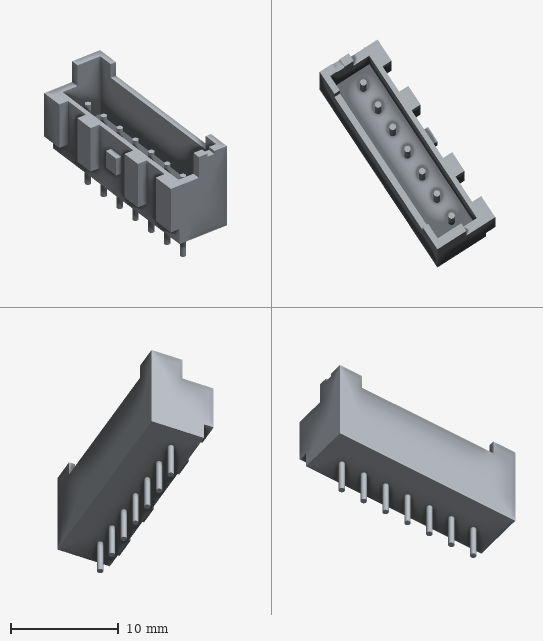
import cadquery as cq

length = 20
back_y = 3.2
front_y = -2.2
rib_front_y = -3.2
height = 8.8
front_height = 6.5
end_step_y = 0

end_wall = 0.85
back_wall = 0.6
front_wall = 0.48
floor_thickness = 2.4

rear_cutout_length = 15
rear_cutout_z = 7.3
notch_y_min = 1
notch_y_max = 1.78
notch_depth = 0.35

rib_bottom_z = 1.68
outer_rib_inner_x = 7.62
inner_rib_start_x = 2.68
inner_rib_end_x = 4.78
boss_half_width = 0.82
boss_front_y = -2.8
boss_bottom_z = 2.95
boss_top_z = 4.82

pin_count = 7
pin_pitch = 2.5
pin_diameter = 0.6
pin_bottom_z = -3.4
pin_top_z = 5.45


def block(x_min, x_max, y_min, y_max, z_min, z_max):
    """Axis-aligned block between the given limits."""
    size = (x_max - x_min, y_max - y_min, z_max - z_min)
    return cq.Workplane("XY").box(*size, centered=False).translate((x_min, y_min, z_min))


def make_housing():
    """Open box with a low front, raised rear corners and a notched end wall."""
    half = length / 2
    inner_half = half - end_wall
    cutout_half = rear_cutout_length / 2
    cavity_back_y = back_y - back_wall
    body = block(-half, half, front_y, back_y, 0, height)
    body = body.cut(block(-half, half, front_y, end_step_y, front_height, height))
    body = body.cut(block(-inner_half, inner_half, front_y + front_wall, cavity_back_y,
                          floor_thickness, height))
    body = body.cut(block(-cutout_half, cutout_half, cavity_back_y, back_y, rear_cutout_z, height))
    return body.cut(block(inner_half, half, notch_y_min, notch_y_max, height - notch_depth, height))


def add_front_features(body):
    """Four ribs, mirrored about the middle, and the central boss."""
    rib_spans = [(inner_rib_start_x, inner_rib_end_x), (outer_rib_inner_x, length / 2)]
    for start, end in rib_spans:
        rib = block(start, end, rib_front_y, front_y, rib_bottom_z, front_height)
        body = body.union(rib).union(rib.mirror("YZ"))
    boss = block(-boss_half_width, boss_half_width, boss_front_y, front_y, boss_bottom_z, boss_top_z)
    return body.union(boss)


def make_pins():
    """Single row of round pins, running through the floor."""
    return (
        cq.Workplane("XY", origin=(0, 0, pin_bottom_z))
        .rarray(pin_pitch, 0.2, pin_count, 1)
        .circle(pin_diameter / 2)
        .extrude(pin_top_z - pin_bottom_z)
    )


result = add_front_features(make_housing()).union(make_pins())